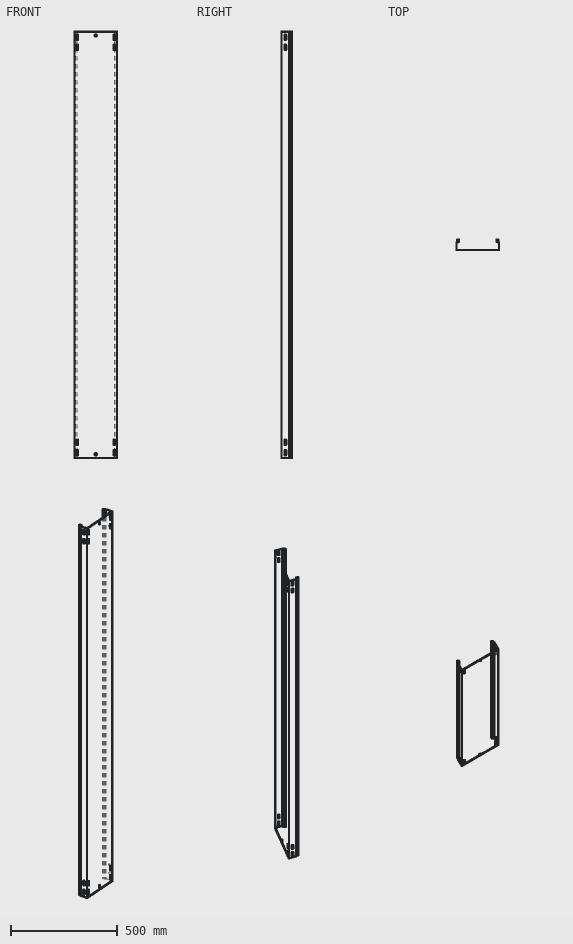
import cadquery as cq

length = 2000.0
width = 200.0
height = 50.0
sheet = 1.5

bead_inset = 2.0
bead_width = 9.0
bead_depth = 10.0
bead_tip_depth = 8.0
bead_shoulder_depth = 5.0
bead_top_inset = 5.0
neck_inset = 5.0
neck_depth = 9.5
bend_depth = 13.5

slot_length = 25.0
slot_width = 7.0
slot_end_distances = (25.0, 75.0)
floor_slot_inset = 13.0
wall_slot_height = 18.0

centre_hole_diameter = 8.0
centre_hole_end_distance = 18.0

half_length = length / 2
floor_y = -height / 2
edge_y = height / 2
wall_x = -width / 2


def make_floor():
    """Flat floor sheet across the full width."""
    return cq.Workplane("XY").box(width, sheet, length).translate((0, floor_y + sheet / 2, 0))


def make_wall():
    """Side wall at -X: straight, bent inwards at the top, then folded into a bead."""
    bead_inner = bead_inset + bead_width
    inset_and_depth = [
        (0, height),
        (0, bend_depth),
        (neck_inset, neck_depth),
        (bead_inset, bead_tip_depth),
        (bead_inset, bead_shoulder_depth),
        (bead_top_inset, 0),
        (bead_inner, 0),
        (bead_inner, bead_depth),
        (sheet, bend_depth + sheet),
        (sheet, height),
    ]
    outline = [(wall_x + inset, edge_y - depth) for inset, depth in inset_and_depth]
    return cq.Workplane("XY", origin=(0, 0, -half_length)).polyline(outline).close().extrude(length)


def floor_slots(slot_heights):
    """Cutter for the slots near the two long edges of the floor."""
    slot_x = width / 2 - floor_slot_inset
    centres = [(x, z) for x in (-slot_x, slot_x) for z in slot_heights]
    plane = cq.Workplane("XZ", origin=(0, floor_y, 0)).pushPoints(centres)
    return plane.slot2D(slot_length, slot_width, 90).extrude(sheet, both=True)


def wall_slots(slot_heights):
    """Cutter for the slots that pass through both side walls."""
    centres = [(floor_y + wall_slot_height, z) for z in slot_heights]
    plane = cq.Workplane("YZ").pushPoints(centres)
    return plane.slot2D(slot_length, slot_width, 90).extrude(width, both=True)


def centre_holes():
    """Cutter for the single round hole at each end of the floor."""
    hole_z = half_length - centre_hole_end_distance
    plane = cq.Workplane("XZ", origin=(0, floor_y, 0)).pushPoints([(0, -hole_z), (0, hole_z)])
    return plane.circle(centre_hole_diameter / 2).extrude(sheet, both=True)


wall = make_wall()
tray = make_floor().union(wall).union(wall.mirror("YZ"))

slot_heights = [
    side * (half_length - distance)
    for side in (-1, 1)
    for distance in slot_end_distances
]
result = tray.cut(floor_slots(slot_heights)).cut(wall_slots(slot_heights)).cut(centre_holes())